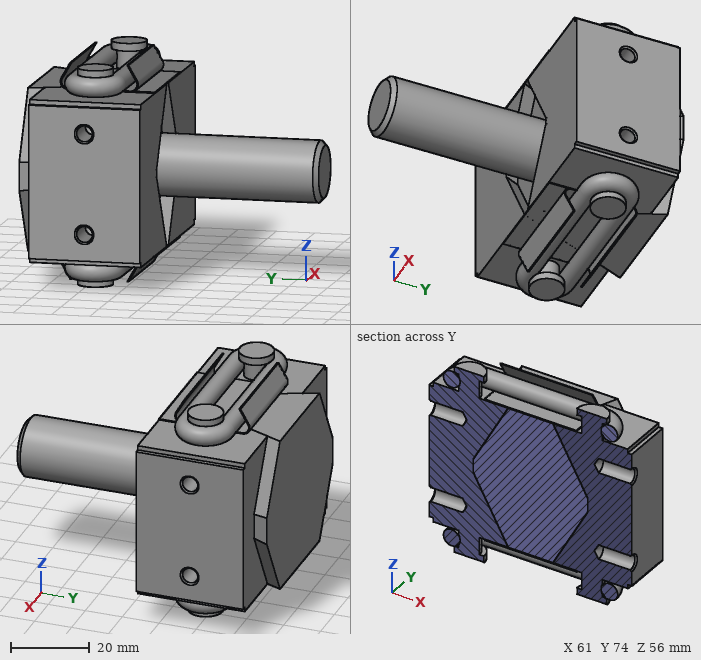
import cadquery as cq
import math

block_width = 61.0
block_depth = 29.0
block_height = 42.1
block_half_height = block_height / 2
mid_depth = block_depth / 2
corner_notch = 1.2

wedge_travel = 4.0
wedge_rear = block_depth + wedge_travel
front_half_width = 12.0
draft_angle = 20.0
rear_half_width = front_half_width + wedge_rear * math.tan(math.radians(draft_angle))
front_facet = 0.97
rear_facet = 3.75
flank_angle = 29.0

shaft_diameter = 16.0
shaft_reach = 41.0
shaft_chamfer = 1.25

hole_diameter = 4.13
hole_mouth_diameter = 5.0
hole_depth = 10.0
hole_spacing = 26.0
drill_point_angle = 118.0

clip_length = 27.7
clip_thickness = 0.3
clip_half_span = 10.15
clip_bend_radius = 2.0
clip_lean_angle = 30.0

pin_x = 18.5
pin_y = 14.4
pin_top = 28.0
pin_head_diameter = 9.1
pin_head_height = 2.0
pin_neck_diameter = 6.4
ring_wire_diameter = 5.0
ring_wire_radius = ring_wire_diameter / 2
ring_bend_radius = 5.3
ring_z = block_half_height + clip_thickness + ring_wire_radius


def diamond_points(half_width, facet):
    """Corners of a diamond whose two side corners are cut flat."""
    apex = facet + half_width / math.tan(math.radians(flank_angle))
    return [
        (half_width, -facet),
        (half_width, facet),
        (0, apex),
        (-half_width, facet),
        (-half_width, -facet),
        (0, -apex),
    ]


def make_taper():
    """Tapered diamond from Y = 0 to the rear, trimmed to the block height."""
    taper = (
        cq.Workplane("XZ")
        .polyline(diamond_points(front_half_width, front_facet))
        .close()
        .workplane(offset=-wedge_rear)
        .polyline(diamond_points(rear_half_width, rear_facet))
        .close()
        .loft(ruled=True)
    )
    trim = cq.Workplane("XY").box(block_width, 2 * wedge_rear, block_height)
    return taper.intersect(trim)


def make_wedge(taper):
    travel_gap = cq.Workplane("XY").box(block_width, 2 * wedge_travel, block_height)
    shaft = (
        cq.Workplane("XZ", origin=(0, wedge_travel, 0))
        .circle(shaft_diameter / 2)
        .extrude(wedge_travel + shaft_reach)
        .faces("<Y")
        .chamfer(shaft_chamfer)
    )
    return taper.cut(travel_gap).union(shaft)


def make_ring():
    """Upper ring: a round wire swept along a stadium path."""
    path = (
        cq.Workplane("XY", origin=(0, pin_y, ring_z))
        .moveTo(0, -ring_bend_radius)
        .lineTo(pin_x, -ring_bend_radius)
        .threePointArc((pin_x + ring_bend_radius, 0), (pin_x, ring_bend_radius))
        .lineTo(-pin_x, ring_bend_radius)
        .threePointArc((-pin_x - ring_bend_radius, 0), (-pin_x, -ring_bend_radius))
        .close()
    )
    return (
        cq.Workplane("YZ", origin=(0, pin_y - ring_bend_radius, ring_z))
        .circle(ring_wire_radius)
        .sweep(path)
    )


def make_pin():
    """Upper headed pin of the left jaw."""
    return (
        cq.Workplane("XY", origin=(-pin_x, pin_y, 0))
        .workplane(offset=block_half_height)
        .circle(pin_neck_diameter / 2)
        .extrude(pin_top - block_half_height)
        .faces(">Z")
        .workplane()
        .circle(pin_head_diameter / 2)
        .extrude(-pin_head_height)
    )


def make_side_hole(z):
    """Blind hole from the left side, with a chamfered mouth and a drill point."""
    radius = hole_diameter / 2
    mouth_radius = hole_mouth_diameter / 2
    mouth_depth = mouth_radius - radius
    point_depth = radius / math.tan(math.radians(drill_point_angle / 2))
    return (
        cq.Workplane("XY", origin=(-block_width / 2, mid_depth, z))
        .polyline([
            (0, 0),
            (0, mouth_radius),
            (mouth_depth, radius),
            (hole_depth, radius),
            (hole_depth + point_depth, 0),
        ])
        .close()
        .revolve(360, (0, 0, 0), (1, 0, 0))
    )


def make_left_jaw(taper, rings):
    jaw = cq.Workplane("XY").box(
        block_width / 2, block_depth, block_height, centered=(False, False, True)
    ).translate((-block_width / 2, 0, 0))
    notches = (
        cq.Workplane("XZ")
        .rarray(block_width, block_height, 2, 2)
        .rect(2 * corner_notch, 2 * corner_notch)
        .extrude(-block_depth)
    )
    pin = make_pin()
    jaw = jaw.cut(notches).cut(taper).union(pin).union(pin.mirror("XY"))
    for z in (-hole_spacing / 2, hole_spacing / 2):
        jaw = jaw.cut(make_side_hole(z))
    for ring in rings:
        jaw = jaw.cut(ring)
    return jaw


def make_clip_arm():
    """Front arm of the upper clip: a bend of 90 degrees plus the lean, then a straight."""
    lean = math.radians(clip_lean_angle)
    outer = clip_bend_radius
    inner = clip_bend_radius - clip_thickness
    centre_y = mid_depth - clip_half_span + outer
    centre_z = block_half_height + outer
    mid_angle = (math.pi / 2 - lean) / 2

    def on_bend(radius, angle):
        return (centre_y - radius * math.cos(angle), centre_z + radius * math.sin(angle))

    def at_tip(radius):
        y, z = on_bend(radius, lean)
        return (y + (pin_top - z) * math.tan(lean), pin_top)

    return (
        cq.Workplane("YZ")
        .moveTo(centre_y, block_half_height)
        .threePointArc(on_bend(outer, -mid_angle), on_bend(outer, lean))
        .lineTo(*at_tip(outer))
        .lineTo(*at_tip(inner))
        .lineTo(*on_bend(inner, lean))
        .threePointArc(on_bend(inner, -mid_angle), (centre_y, centre_z - inner))
        .close()
        .extrude(clip_length / 2, both=True)
    )


def make_clip():
    """Upper clip: a base plate reaching the front face, with two arms bent upwards."""
    rear_bend_start = mid_depth + clip_half_span - clip_bend_radius
    front_arm = make_clip_arm()
    rear_arm = front_arm.mirror("XZ", (0, mid_depth, 0))
    base = cq.Workplane("XY", origin=(0, 0, block_half_height)).box(
        clip_length, rear_bend_start, clip_thickness, centered=(True, False, False)
    )
    return base.union(front_arm).union(rear_arm)


taper = make_taper()
wedge = make_wedge(taper)

ring = make_ring()
rings = [ring, ring.mirror("XY")]

left_jaw = make_left_jaw(taper, rings)
jaws = [left_jaw, left_jaw.mirror("YZ")]

clip = make_clip()
clips = [clip, clip.mirror("XY")]

bodies = [wedge, *jaws, *rings, *clips]
result = cq.Compound.makeCompound([body.solids().val() for body in bodies])